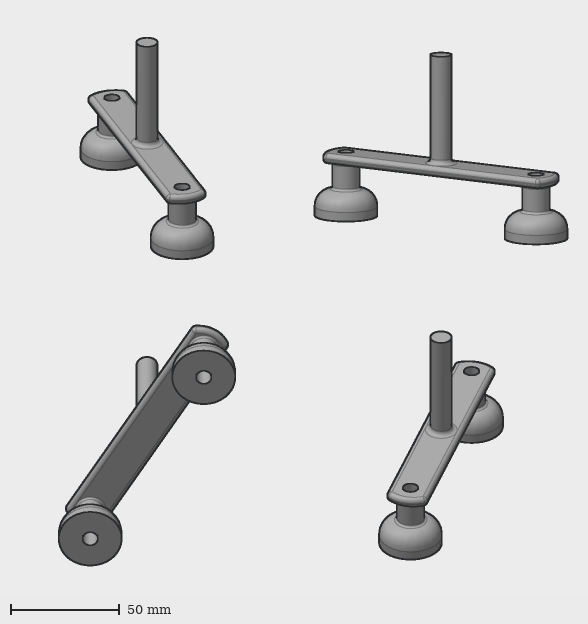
import cadquery as cq
import math

overall_length = 130.5
overall_height = 80.8

foot_diameter = 29.0
foot_band_height = 4.5
foot_dome_radius = 8.2
neck_diameter = 12.8
neck_top_flare = 0.9
neck_base_flare = 1.2
bore_diameter = 7.0

bar_length = 121.2
bar_width = 19.2
bar_thickness = 4.8
bar_top = 30.0
bar_end_radius = 15.0
bar_corner_round = 2.4
bar_edge_round = 2.2

rod_diameter = 9.8
rod_flare = 2.4

foot_offset = (overall_length - foot_diameter) / 2
foot_height = foot_band_height + foot_dome_radius
bar_bottom = bar_top - bar_thickness


def make_cylinder(diameter, x, bottom, top):
    """Upright cylinder on the line Y = 0, between two heights."""
    return cq.Workplane("XY", origin=(x, 0, bottom)).circle(diameter / 2).extrude(top - bottom)


def fillet_ring(body, x, height, radius):
    """Round the circular edge centred at the given X and height."""
    return body.edges(cq.NearestToPointSelector((x, 0, height))).fillet(radius)


def make_bar():
    """Flat bar with bowed ends, rounded corners and nearly full-round edges."""
    half_length = bar_length / 2
    half_width = bar_width / 2
    end_bow = bar_end_radius - math.sqrt(bar_end_radius**2 - half_width**2)
    corner_x = half_length - end_bow
    slab = (
        cq.Workplane("XY", origin=(0, 0, bar_bottom))
        .moveTo(-corner_x, -half_width)
        .lineTo(corner_x, -half_width)
        .threePointArc((half_length, 0), (corner_x, half_width))
        .lineTo(-corner_x, half_width)
        .threePointArc((-half_length, 0), (-corner_x, -half_width))
        .close()
        .extrude(bar_thickness)
    )
    slab = slab.edges("|Z").fillet(bar_corner_round)
    return slab.faces("<Z or >Z").edges().fillet(bar_edge_round)


def make_leg(x):
    """Domed foot with a neck that flares into the top of the dome."""
    foot = make_cylinder(foot_diameter, x, 0, foot_height)
    foot = foot.faces(">Z").edges().fillet(foot_dome_radius)
    neck = make_cylinder(neck_diameter, x, foot_band_height, bar_bottom)
    return fillet_ring(foot.union(neck), x, foot_height, neck_base_flare)


rod = make_cylinder(rod_diameter, 0, bar_top, overall_height)
result = fillet_ring(make_bar().union(rod), 0, bar_top, rod_flare)

for leg_x in (-foot_offset, foot_offset):
    result = result.union(make_leg(leg_x))
    result = fillet_ring(result, leg_x, bar_bottom, neck_top_flare)
    result = result.cut(make_cylinder(bore_diameter, leg_x, 0, bar_top))